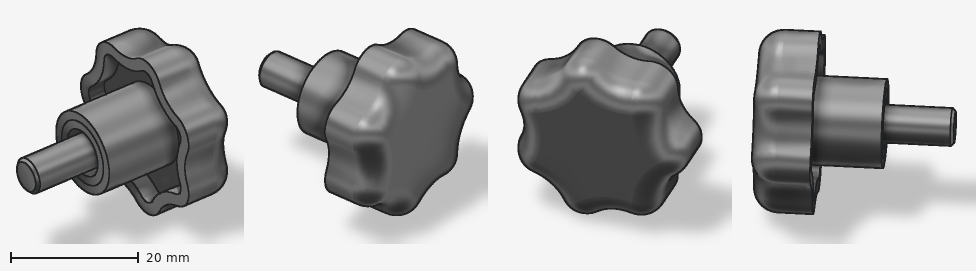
import cadquery as cq
import math


lobe_count = 7
lobe_step = 2 * math.pi / lobe_count
first_lobe_angle = math.pi
lobe_center_radius = 10.78
lobe_radius = 4.0
valley_radius = 7.25
head_depth = 9.5
crown_radius = lobe_radius

rim_width = 2.1
pocket_depth = 3.0

hub_diameter = 14.05
hub_length = 10.55
insert_diameter = 11.0
insert_bore_diameter = 8.0
insert_bore_depth = 4.0

stud_diameter = 6.0
stud_length = 11.0
stud_chamfer = 0.5

hub_face = -hub_length
insert_end = pocket_depth
stud_tip = hub_face - stud_length

half_step = lobe_step / 2
valley_center_radius = lobe_center_radius * math.cos(half_step) + math.sqrt(
    (lobe_radius + valley_radius) ** 2 - (lobe_center_radius * math.sin(half_step)) ** 2
)


def polar(radius, angle):
    """Point at a radius and angle, in the plane across the axis."""
    return (radius * math.cos(angle), radius * math.sin(angle))


def blend(start, end, ratio):
    """Point a given share of the way from start to end."""
    return (start[0] + (end[0] - start[0]) * ratio, start[1] + (end[1] - start[1]) * ratio)


def star(inset):
    """Closed seven-lobed outline on the rim plane, moved inward by inset."""
    touch_ratio = (lobe_radius - inset) / (lobe_radius + valley_radius)
    tip_radius = lobe_center_radius + lobe_radius - inset
    valley_floor = valley_center_radius - valley_radius - inset

    def touch_point(lobe_angle, side):
        lobe_center = polar(lobe_center_radius, lobe_angle)
        valley_center = polar(valley_center_radius, lobe_angle + side * half_step)
        return blend(lobe_center, valley_center, touch_ratio)

    outline = cq.Workplane("XZ").moveTo(*touch_point(first_lobe_angle, -1))
    for index in range(lobe_count):
        angle = first_lobe_angle + index * lobe_step
        outline = outline.threePointArc(polar(tip_radius, angle), touch_point(angle, 1))
        outline = outline.threePointArc(
            polar(valley_floor, angle + half_step), touch_point(angle + lobe_step, -1)
        )
    return outline.close()


def cylinder(diameter, y_start, y_end):
    """Cylinder on the Y axis from y_start to y_end, y_start being the lower one."""
    return cq.Workplane("XZ", origin=(0, y_end, 0)).circle(diameter / 2).extrude(y_end - y_start)


def build_knob():
    """Hollow star-shaped head with a rounded crown, and a hub bored for the insert."""
    head = star(0).extrude(-head_depth).faces(">Y").edges().fillet(crown_radius)
    pocket = star(rim_width).extrude(-pocket_depth)
    hub = cylinder(hub_diameter, hub_face, pocket_depth)
    insert_hole = cylinder(insert_diameter, hub_face, insert_end)
    return head.cut(pocket).union(hub).cut(insert_hole)


def build_stud_insert():
    """Insert with a bore open toward -Y and a chamfered stud standing in the bore."""
    insert = cylinder(insert_diameter, hub_face, insert_end)
    bore = cylinder(insert_bore_diameter, hub_face, hub_face + insert_bore_depth)
    stud = cylinder(stud_diameter, stud_tip, insert_end).faces("<Y").chamfer(stud_chamfer)
    return insert.cut(bore).union(stud)


knob = build_knob()
stud_insert = build_stud_insert()
result = cq.Compound.makeCompound([knob.val(), stud_insert.val()])